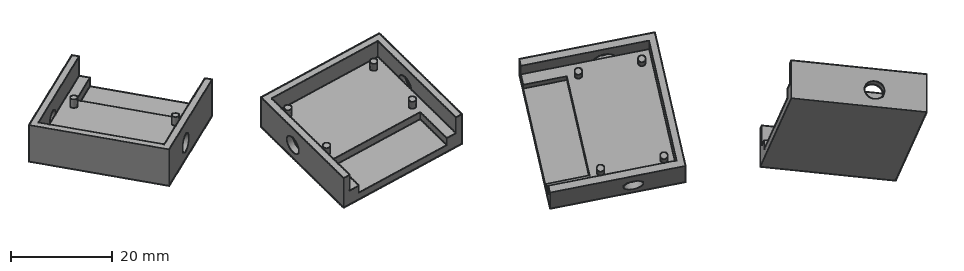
import cadquery as cq

WIDTH = 29.0
LENGTH = 27.25
HEIGHT = 8.5
WALL = 1.5
FLOOR_HEIGHT = 4.0

RECESS_WIDTH = 21.5
RECESS_LENGTH = 8.75
RECESS_DEPTH = 2.0

PIN_DIAMETER = 1.5
PIN_HEIGHT = 2.0
PIN_SPACING_X = 21.0
PIN_ROWS_Y = (3.5, 16.25)

HOLE_DIAMETER = 4.0
HOLE_Y = 10.5
HOLE_Z = 3.75


def box_from(width, length, height, y_start, z_start):
    """Box centred on X that starts at the given Y and Z."""
    return (
        cq.Workplane("XY")
        .box(width, length, height, centered=(True, False, False))
        .translate((0, y_start, z_start))
    )


def tray_body():
    """Block with the main cavity and the stepped floor recess removed."""
    block = box_from(WIDTH, LENGTH, HEIGHT, 0, 0)
    cavity = box_from(WIDTH - 2 * WALL, LENGTH - WALL, HEIGHT - FLOOR_HEIGHT, WALL, FLOOR_HEIGHT)
    recess = box_from(
        RECESS_WIDTH, RECESS_LENGTH, RECESS_DEPTH, LENGTH - RECESS_LENGTH, FLOOR_HEIGHT - RECESS_DEPTH
    )
    return block.cut(cavity).cut(recess)


def side_hole(side):
    """Cutter as deep as the wall, on the -X (side = -1) or +X (side = 1) face."""
    return (
        cq.Workplane("YZ", origin=(side * WIDTH / 2, HOLE_Y, HOLE_Z))
        .circle(HOLE_DIAMETER / 2)
        .extrude(-side * WALL)
    )


def locating_pins():
    """Four pins, rooted in the floor."""
    pin_points = [(side * PIN_SPACING_X / 2, y) for side in (-1, 1) for y in PIN_ROWS_Y]
    return (
        cq.Workplane("XY", origin=(0, 0, FLOOR_HEIGHT))
        .pushPoints(pin_points)
        .circle(PIN_DIAMETER / 2)
        .extrude(PIN_HEIGHT)
    )


result = tray_body()
for wall_side in (-1, 1):
    result = result.cut(side_hole(wall_side))
result = result.union(locating_pins())